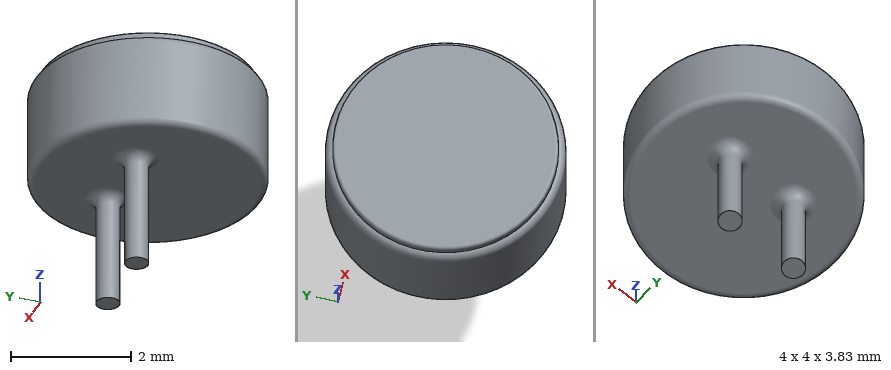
import math

import cadquery as cq

body_diameter = 4
body_height = 1.7

lid_diameter = 3.75
lid_height = 0.13
lid_edge_radius = 0.05

body_rim_radius = (body_diameter - lid_diameter) / 2

pin_diameter = 0.4
pin_length = 2
pin_spacing = 1.4
pin_offset_y = 0.45
pin_root_radius = 0.2
pin_overlap = 0.12


def make_body():
    """Drum with both rims rounded."""
    drum = cq.Workplane("XY").circle(body_diameter / 2).extrude(body_height)
    return drum.faces("<Z or >Z").edges().fillet(body_rim_radius)


def make_lid():
    """Disc on top of the can, with a rounded upper edge."""
    disc = cq.Workplane("XY", origin=(0, 0, body_height)).circle(lid_diameter / 2).extrude(lid_height)
    return disc.faces(">Z").edges().fillet(lid_edge_radius)


def make_pin(x):
    """Straight pin with a concave flare where it meets the can."""
    shaft_radius = pin_diameter / 2
    flare_radius = shaft_radius + pin_root_radius
    arc_reach = pin_root_radius * (1 - math.cos(math.radians(45)))
    profile = (
        cq.Workplane("XZ")
        .moveTo(0, -pin_length)
        .lineTo(shaft_radius, -pin_length)
        .lineTo(shaft_radius, -pin_root_radius)
        .threePointArc((shaft_radius + arc_reach, -arc_reach), (flare_radius, 0))
        .lineTo(flare_radius, pin_overlap)
        .lineTo(0, pin_overlap)
        .close()
    )
    pin = profile.revolve(360, (0, 0, 0), (0, 1, 0))
    return pin.translate((x, pin_offset_y, 0))


result = make_body().union(make_lid())
for side in (-1, 1):
    result = result.union(make_pin(side * pin_spacing / 2))